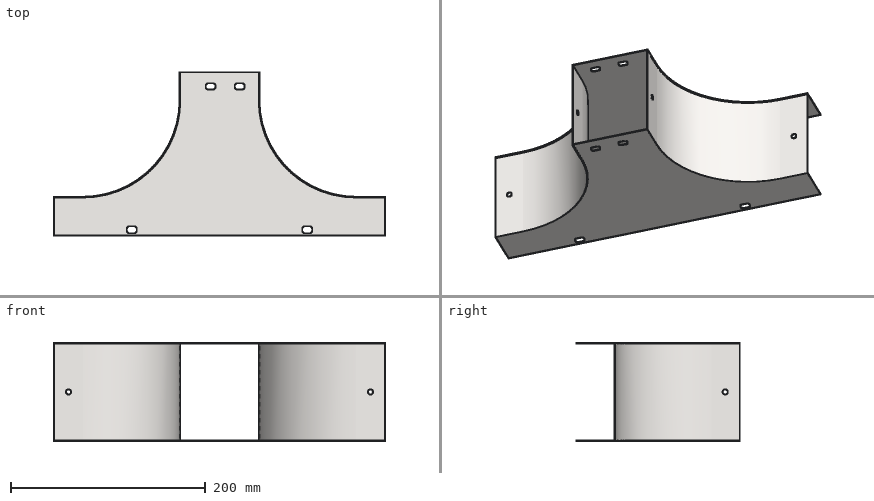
import cadquery as cq
import math

length = 340.0
depth = 168.0
height = 101.0
thickness = 1.0

arm_flange_length = 30.0
stem_flange_length = 29.0
bend_radius = 99.0
stem_half_width = length / 2 - arm_flange_length - bend_radius
arm_depth = depth - stem_flange_length - bend_radius
bend_center_x = stem_half_width + bend_radius
bend_center_y = arm_depth + bend_radius

end_inset = 15.0

slot_length = 10.0
stem_slot_width = 6.0
arm_slot_width = 7.0
slot_corner_radius = 2.5
stem_slot_positions = (-9.2, 20.7)
stem_slot_inset = 14.5
stem_slot_y = depth - stem_slot_inset
arm_slot_offset = 90.0
arm_slot_y = 6.0

hole_diameter = 5.0


def tee_block(inset, bottom_z, block_height):
    """Solid tee with its front edge on Y = 0 and its bent sides moved inward by inset."""
    half_length = length / 2
    half_width = stem_half_width - inset
    arm_y = arm_depth - inset
    diagonal = (bend_radius + inset) / math.sqrt(2)
    bend_mid_x = bend_center_x - diagonal
    bend_mid_y = bend_center_y - diagonal
    return (
        cq.Workplane("XY", origin=(0, 0, bottom_z))
        .moveTo(-half_length, 0)
        .lineTo(half_length, 0)
        .lineTo(half_length, arm_y)
        .lineTo(bend_center_x, arm_y)
        .threePointArc((bend_mid_x, bend_mid_y), (half_width, bend_center_y))
        .lineTo(half_width, depth)
        .lineTo(-half_width, depth)
        .lineTo(-half_width, bend_center_y)
        .threePointArc((-bend_mid_x, bend_mid_y), (-bend_center_x, arm_y))
        .lineTo(-half_length, arm_y)
        .close()
        .extrude(block_height)
    )


def stem_holes():
    """Cutter along X through both stem flanges."""
    center = (-stem_half_width, depth - end_inset, height / 2)
    return cq.Workplane("YZ", origin=center).circle(hole_diameter / 2).extrude(2 * stem_half_width)


def arm_holes():
    """Cutters along Y through the two arm flanges."""
    center_x = length / 2 - end_inset
    return (
        cq.Workplane("XZ", origin=(0, arm_depth, height / 2))
        .pushPoints([(-center_x, 0), (center_x, 0)])
        .circle(hole_diameter / 2)
        .extrude(arm_depth)
    )


def plate_slots(centers, slot_width):
    """Round-cornered slot cutters running through the full height."""
    return (
        cq.Workplane("XY")
        .pushPoints(centers)
        .rect(slot_length, slot_width)
        .extrude(height)
        .edges("|Z")
        .fillet(slot_corner_radius)
    )


outer_tee = tee_block(0, 0, height)
cavity = tee_block(thickness, thickness, height - 2 * thickness)
channel = outer_tee.cut(cavity)

stem_slot_centers = [(x, stem_slot_y) for x in stem_slot_positions]
arm_slot_centers = [(x, arm_slot_y) for x in (-arm_slot_offset, arm_slot_offset)]
slotted = channel.cut(plate_slots(stem_slot_centers, stem_slot_width))
slotted = slotted.cut(plate_slots(arm_slot_centers, arm_slot_width))

result = slotted.cut(stem_holes()).cut(arm_holes())